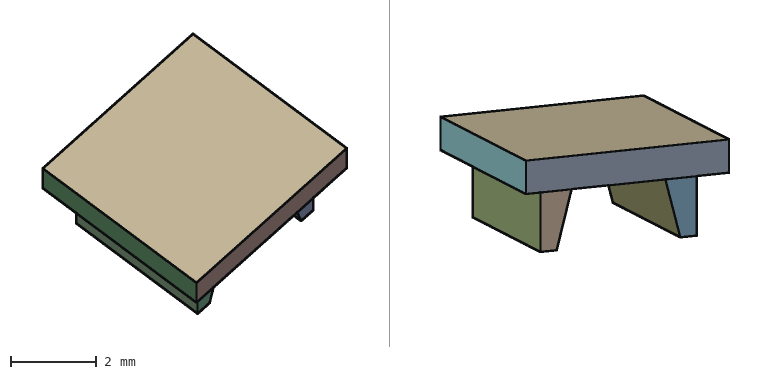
import cadquery as cq
import math

plate_length_x = 4.85
plate_width_y = 5.2
total_height = 2.36
plate_thickness = 0.8

leg_length_x = 3.83
leg_outer_span_y = 4.0
leg_tip_width = 0.42
leg_inner_angle = 15.0

leg_height = total_height - plate_thickness
leg_root_width = leg_tip_width + leg_height * math.tan(math.radians(leg_inner_angle))


def make_plate():
    """Rectangular plate with its underside at Z = 0."""
    return cq.Workplane("XY").box(
        plate_length_x, plate_width_y, plate_thickness, centered=(True, True, False)
    )


def make_leg(side):
    """Tapered leg hanging from the underside, on the +Y (1) or -Y (-1) side."""
    outer_y = side * leg_outer_span_y / 2
    profile = [
        (outer_y, 0),
        (outer_y, -leg_height),
        (outer_y - side * leg_tip_width, -leg_height),
        (outer_y - side * leg_root_width, 0),
    ]
    return cq.Workplane("YZ").polyline(profile).close().extrude(leg_length_x / 2, both=True)


result = make_plate()
for side in (1, -1):
    result = result.union(make_leg(side))